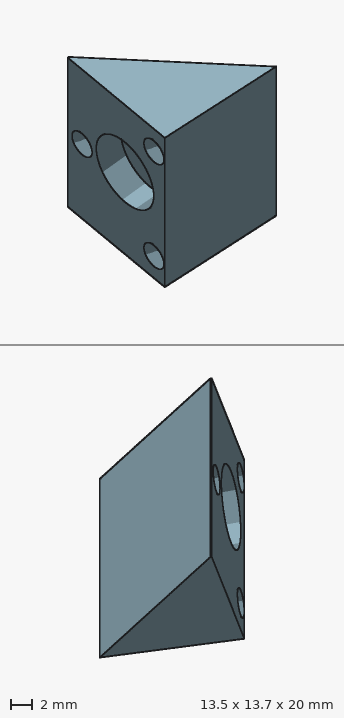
import cadquery as cq
import math

WIDTH = 13.5
HEIGHT = 20.0
EDGE_LAND = 0.15
DEPTH = WIDTH + EDGE_LAND

POCKET_DIAMETER = 8.0
POCKET_DEPTH = 3.0
POCKET_X = 7.97
POCKET_Z = 11.0

DIMPLE_DIAMETER = 2.8
DIMPLE_CONE_ANGLE = 80.0
DIMPLE_RADIUS = DIMPLE_DIAMETER / 2
DIMPLE_DEPTH = DIMPLE_RADIUS / math.tan(math.radians(DIMPLE_CONE_ANGLE / 2))
THIN_SIDE_DIMPLE_X = 2.0
THICK_SIDE_DIMPLE_X = 12.0
DIMPLE_SPACING = 14.0
MIDDLE_Z = HEIGHT / 2

DIMPLE_CENTERS = [
    (THIN_SIDE_DIMPLE_X, MIDDLE_Z),
    (THICK_SIDE_DIMPLE_X, MIDDLE_Z - DIMPLE_SPACING / 2),
    (THICK_SIDE_DIMPLE_X, MIDDLE_Z + DIMPLE_SPACING / 2),
]


def wedge():
    outline = [(0, 0), (WIDTH, 0), (WIDTH, DEPTH), (0, EDGE_LAND)]
    return cq.Workplane("XY").polyline(outline).close().extrude(HEIGHT)


def pocket():
    face = cq.Workplane("XZ").center(POCKET_X, POCKET_Z)
    return face.circle(POCKET_DIAMETER / 2).extrude(-POCKET_DEPTH)


def dimple(x, z):
    half_profile = [(0, 0), (DIMPLE_RADIUS, 0), (0, DIMPLE_DEPTH)]
    cone = cq.Workplane("XY").polyline(half_profile).close().revolve(360, (0, 0), (0, 1))
    return cone.translate((x, 0, z))


result = wedge().cut(pocket())
for dimple_x, dimple_z in DIMPLE_CENTERS:
    result = result.cut(dimple(dimple_x, dimple_z))